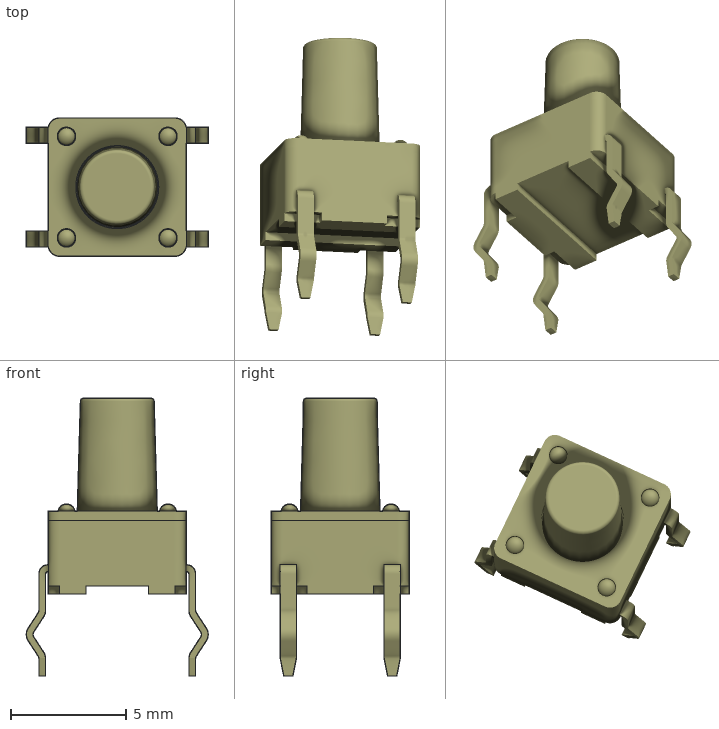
import cadquery as cq
import math


body_size = 6.0
corner_radius = 0.5
cover_top = 3.6
cover_thickness = 0.4
foot_height = 0.35
foot_channel_width = 2.7
side_tab_width = 2.88

peg_pitch = 4.4
peg_diameter = 0.75
peg_hole_diameter = 0.8
peg_height = 0.31

button_hole_diameter = 3.6
button_top = 8.5
button_top_diameter = 3.2
button_base_diameter = 3.5
button_edge_radius = 0.15

lead_pitch_x = 6.5
lead_pitch_y = 4.5
lead_thickness = 0.3
lead_width = 0.71
lead_tip_width = 0.4
lead_tip_z = -3.55
lead_top = 1.28
lead_span = 7.89
lead_apex_z = -1.745
lead_slope = 33.0
lead_taper_start = -2.78
shoulder_inner_radius = 0.1
bend_inner_radius = 0.2

base_top = cover_top - cover_thickness
feet_half_span = body_size / 2 - corner_radius
lead_half = lead_thickness / 2
lead_root_x = feet_half_span
shoulder_radius = shoulder_inner_radius + lead_half
bend_radius = bend_inner_radius + lead_half
button_height = button_top - base_top
button_draft_run = (button_base_diameter - button_top_diameter) / 2
button_draft = math.degrees(math.atan(button_draft_run / button_height))


def rounded_block(bottom, top):
    """Square block with rounded vertical corners between two heights."""
    block = cq.Workplane("XY").workplane(offset=bottom).rect(body_size, body_size).extrude(top - bottom)
    return block.edges("|Z").fillet(corner_radius)


def make_feet():
    """Bottom layer: square-ended feet and side tabs, split by a channel along Y."""
    feet = cq.Workplane("XY").rect(2 * feet_half_span, body_size).extrude(foot_height)
    tabs = cq.Workplane("XY").rect(body_size, side_tab_width).extrude(foot_height)
    channel = cq.Workplane("XY").rect(foot_channel_width, body_size).extrude(foot_height)
    return feet.union(tabs).cut(channel)


def make_peg():
    """Round peg with a spherical end, standing on the base."""
    radius = peg_diameter / 2
    sphere_centre = cover_top + peg_height - radius
    shank = cq.Workplane("XY").workplane(offset=base_top).circle(radius).extrude(sphere_centre - base_top)
    dome = cq.Workplane("XY").sphere(radius).translate((0, 0, sphere_centre))
    return shank.union(dome)


def lead_middle_line():
    """Middle line of the strip in the XZ plane: shoulder, drop, bulge and straight tip."""
    slope = math.radians(lead_slope)
    straight_x = lead_pitch_x / 2
    shoulder_z = lead_top - lead_half
    bulge_x = lead_span / 2 - lead_half + bend_radius * (1 / math.cos(slope) - 1)
    flank_height = (bulge_x - straight_x) / math.tan(slope)
    shoulder = cq.Vector(straight_x, 0, shoulder_z)
    upper_bend = cq.Vector(straight_x, 0, lead_apex_z + flank_height)
    drop_middle = (shoulder + upper_bend) / 2
    root = cq.Vector(lead_root_x, 0, shoulder_z)
    bulge = cq.Vector(bulge_x, 0, lead_apex_z)
    lower_bend = cq.Vector(straight_x, 0, lead_apex_z - flank_height)
    tip = cq.Vector(straight_x, 0, lead_tip_z)
    upper_line = cq.Wire.makePolygon([root, shoulder, drop_middle]).fillet(shoulder_radius)
    lower_line = cq.Wire.makePolygon([drop_middle, upper_bend, bulge, lower_bend, tip]).fillet(bend_radius)
    return cq.Wire.combine([upper_line, lower_line])[0]


def lead_tip_blank():
    """Outline of the strip seen along X: full width, then a taper down to the tip."""
    half_width = lead_width / 2
    half_tip = lead_tip_width / 2
    outline = [
        (-half_width, lead_top),
        (half_width, lead_top),
        (half_width, lead_taper_start),
        (half_tip, lead_tip_z),
        (-half_tip, lead_tip_z),
        (-half_width, lead_taper_start),
    ]
    return cq.Workplane("YZ").polyline(outline).close().extrude(body_size)


def make_lead():
    """Bent strip lead on the +X side, centred on Y = 0, rooted inside the base."""
    section = cq.Workplane("YZ", origin=(lead_root_x, 0, lead_top - lead_half))
    strip = section.rect(lead_width, lead_thickness).sweep(cq.Workplane(lead_middle_line()))
    return strip.intersect(lead_tip_blank())


def at_four_corners(feature, pitch_x, pitch_y):
    """Copies of a +X side feature at the corners of a rectangle; -X copies are turned half round."""
    copies = []
    for side_angle in (0, 180):
        for y in (-pitch_y / 2, pitch_y / 2):
            copy = feature.translate((pitch_x / 2, y, 0))
            copies.append(copy.rotate((0, 0, 0), (0, 0, 1), side_angle))
    return copies


def make_base():
    """Moulded base with its feet, four pegs and four leads."""
    base = rounded_block(foot_height, base_top).union(make_feet())
    for peg in at_four_corners(make_peg(), peg_pitch, peg_pitch):
        base = base.union(peg)
    for lead in at_four_corners(make_lead(), 0, lead_pitch_y):
        base = base.union(lead)
    return base


def make_cover():
    """Sheet cover with a central button hole and four peg holes."""
    cover = rounded_block(base_top, cover_top)
    peg_holes = cq.Workplane("XY").workplane(offset=base_top).rect(peg_pitch, peg_pitch, forConstruction=True)
    peg_holes = peg_holes.vertices().circle(peg_hole_diameter / 2).extrude(cover_thickness)
    button_hole = cq.Workplane("XY").workplane(offset=base_top).circle(button_hole_diameter / 2)
    button_hole = button_hole.extrude(cover_thickness)
    return cover.cut(peg_holes).cut(button_hole)


def make_button():
    """Tapered round button standing on the base, with a rounded top edge."""
    button = cq.Workplane("XY").workplane(offset=base_top).circle(button_base_diameter / 2)
    button = button.extrude(button_height, taper=button_draft)
    return button.faces(">Z").edges().fillet(button_edge_radius)


base = make_base().solids()
cover = make_cover().solids()
button = make_button().solids()
result = cq.Compound.makeCompound([base.val(), cover.val(), button.val()])